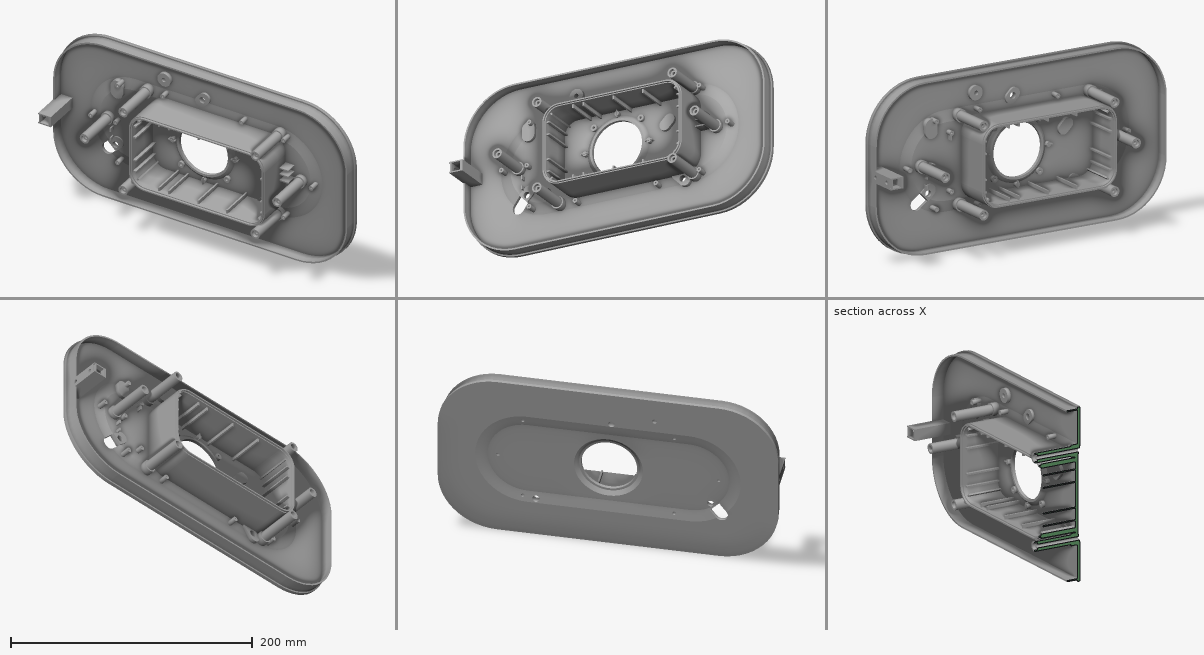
import cadquery as cq
import math


LENGTH = 287.0
WIDTH = 152.0
CORNER_R = 50.0
LIP_HEIGHT = 3.0
RIM_SETBACK = 1.5
RIM_WALL = 1.5
RIM_HEIGHT = 13.2
FLOOR_HEIGHT = 3.0
FOOTING = 2.5

PLATEAU_R = 44.0
PLATEAU_SPACING = 136.0
PLATEAU_SLOPE_WIDTH = 10.0
PLATEAU_RISE = 2.15
PLATEAU_HEIGHT = FLOOR_HEIGHT + PLATEAU_RISE

OPENING_R = 23.5
COLLAR_BASE_R = 29.0
COLLAR_TOP_R = 25.5
COLLAR_RISE = 3.0

BOX_X = 12.0
BOX_LENGTH = 131.2
BOX_WIDTH = 72.3
BOX_CORNER_R = 15.5
BOX_WALL = 3.0
BOX_HEIGHT = 40.2
BOX_TONGUE_STEP = 1.0
BOX_TONGUE_HEIGHT = 1.7

RIB_HEIGHT = 36.5
RIB_THICKNESS = 1.5
LONG_WALL_RIB_DEPTH = 3.5
END_WALL_RIB_DEPTH = 3.0
CORNER_RIB_DEPTH = 2.3
LONG_WALL_RIB_X = (-25.8, -16.5, 12.0, 40.0)
END_WALL_RIB_Z = (-22.0, -11.2, 11.2, 22.0)

POST_HEIGHT = 44.5
POST_DIAMETER = 9.0
POST_FOOT_DIAMETER = 11.2
POST_FOOT_HEIGHT = 9.2
POST_HOLE_R = 1.5
POST_COUNTERBORE_R = 3.0
POST_COUNTERBORE_DEPTH = 3.0
POST_POINTS = [(-93.0, 0), (93.0, 0)]
POST_POINTS += [(x, z) for x in (-55.7, 72.0) for z in (-38.5, 38.5)]

PIN_R = 2.15
PIN_HOLE_R = 0.72
TALL_PIN_HEIGHT = 11.8
TALL_PIN_POINTS = [(-107.0, 0), (106.2, 0)]
TALL_PIN_POINTS += [(x, z) for x in (-81.0, 79.2) for z in (-38.0, 38.0)]
LOW_PIN_HEIGHT = 10.5
LOW_PIN_POINTS = [(-83.8, 0), (-65.7, -25.3), (-65.7, 25.3)]
LOW_PIN_POINTS += [(x, z) for x in (-38.2, 38.0) for z in (-41.0, 41.0)]

BOSS_R = 3.0
BOSS_HOLE_R = 1.1
BOSS_HEIGHT = 7.7
BOSS_OFFSET = 22.0
RING_PIN_OFFSET = 30.0
RING_PIN_HEIGHT = 8.5
RING_RIB_HEIGHT = 9.2
RING_RIB_LENGTH = 7.0
RING_RIB_THICKNESS = 1.0

PAD_WIDTH = 10.3
PAD_HOLE_R = 3.0
HOLED_PAD_HEIGHT = 6.3
TOP_PAD_HEIGHT = 5.2
PLAIN_PAD_HEIGHT = 8.0
ROUND_PAD_POINT = (-39.3, 54.8)
ROUND_PAD_R = 6.3
ROUND_PAD_HOLE_R = 2.0
TOP_PAD = (-3.0, 46.5, 15.2, PAD_WIDTH, 45)
TOP_PAD_HOLE = (-3.0, 46.5)
CORNER_PAD = (59.5, -38.5, 20.0, PAD_WIDTH, -45)
CORNER_PAD_HOLE = (60.8, -40.2)
PLAIN_PADS = [(47.0, 13.0, 15.8, 10.0, 45), (-83.8, 31.3, 17.2, 11.8, 90)]

SLOT_POINT = (-89.5, -27.3)
SLOT_WIDTH = 11.0
SLOT_ANGLE = 45
SLOT_REACH = 14.0
SLOT_PAD_REACH = 13.0
SLOT_PAD_HOLE = (-86.0, -24.7)

TUBE_LENGTH = 12.3
TUBE_WIDTH = 10.0
TUBE_HEIGHT = 37.3
TUBE_SIDE_WALL = 1.1
TUBE_END_WALL = 2.0
TUBE_HOLE_R = 1.7
TUBE_HOLE_HEIGHTS = (13.5, 30.7)
TUBE_NOTCH_HEIGHT = 2.0
TUBE_NOTCH_DEPTH = 1.0

FLOOR_RIB_THICKNESS = 1.1
WIRE_RIB_HEIGHT = 15.0
WIRE_RIB_LENGTH = 8.5
WIRE_RIB_Z = (0, 6.0, 12.0)
STUB_RIB_HEIGHT = 9.8
STUB_RIBS = [(-89.0, -11.2, -7.5), (-89.0, -19.8, -16.6), (-65.7, 19.0, 23.5)]


def level(height):
    return cq.Workplane("XZ").workplane(offset=height)


def rounded_block(length, width, radius, height, x=0.0, base=0.0):
    return level(base).center(x, 0).rect(length, width).extrude(height - base).edges("|Y").fillet(radius)


def block(x_min, x_max, z_min, z_max, base, top):
    return (
        level(base)
        .center((x_min + x_max) / 2, (z_min + z_max) / 2)
        .rect(x_max - x_min, z_max - z_min)
        .extrude(top - base)
    )


def discs(points, radius, base, top):
    return level(base).pushPoints(points).circle(radius).extrude(top - base)


def obround(x, z, length, width, angle, base, top):
    return level(base).center(x, z).slot2D(length, width, angle).extrude(top - base)


def tray():
    lip = rounded_block(LENGTH, WIDTH, CORNER_R, LIP_HEIGHT)
    rim = rounded_block(
        LENGTH - 2 * RIM_SETBACK, WIDTH - 2 * RIM_SETBACK, CORNER_R - RIM_SETBACK, RIM_HEIGHT
    )
    inset = RIM_SETBACK + RIM_WALL
    hollow = rounded_block(
        LENGTH - 2 * inset, WIDTH - 2 * inset, CORNER_R - inset, RIM_HEIGHT, base=FLOOR_HEIGHT
    )
    slope = math.degrees(math.atan(PLATEAU_SLOPE_WIDTH / PLATEAU_RISE))
    plateau = (
        level(FLOOR_HEIGHT)
        .slot2D(PLATEAU_SPACING + 2 * PLATEAU_R, 2 * PLATEAU_R)
        .extrude(PLATEAU_RISE, taper=slope)
    )
    underside = plateau.translate((0, FLOOR_HEIGHT, 0))
    return lip.union(rim).cut(hollow).union(plateau).cut(underside)


def collar():
    taper = math.degrees(math.atan((COLLAR_BASE_R - COLLAR_TOP_R) / COLLAR_RISE))
    return level(PLATEAU_HEIGHT).circle(COLLAR_BASE_R).extrude(COLLAR_RISE, taper=taper)


def box_frame(outer_inset, inner_inset, height):
    """Closed wall lying between two insets from the outline of the box."""
    outer = box_outline(outer_inset, height)
    return outer.cut(box_outline(inner_inset, height))


def box_outline(inset, height):
    return rounded_block(
        BOX_LENGTH - 2 * inset, BOX_WIDTH - 2 * inset, BOX_CORNER_R - inset, height, BOX_X, FOOTING
    )


def box():
    """Wall with a narrow tongue along its front edge and ribs on its inner faces."""
    shell = box_frame(0, BOX_WALL, BOX_HEIGHT - BOX_TONGUE_HEIGHT)
    shell = shell.union(box_frame(BOX_TONGUE_STEP, BOX_WALL - BOX_TONGUE_STEP, BOX_HEIGHT))
    return shell.union(box_wall_ribs()).union(box_corner_ribs())


def box_wall_ribs():
    """Ribs on the four flat inner faces, each rooted halfway into its wall."""
    half_t = RIB_THICKNESS / 2
    root_z = (BOX_WIDTH - BOX_WALL) / 2
    root_x = (BOX_LENGTH - BOX_WALL) / 2
    tip_z = BOX_WIDTH / 2 - BOX_WALL - LONG_WALL_RIB_DEPTH
    tip_x = BOX_LENGTH / 2 - BOX_WALL - END_WALL_RIB_DEPTH
    ribs = cq.Workplane("XZ")
    for side in (-1, 1):
        z_range = sorted((side * root_z, side * tip_z))
        for x in LONG_WALL_RIB_X:
            ribs = ribs.union(block(x - half_t, x + half_t, *z_range, FOOTING, RIB_HEIGHT))
        x_range = sorted((BOX_X + side * root_x, BOX_X + side * tip_x))
        for z in END_WALL_RIB_Z:
            ribs = ribs.union(block(*x_range, z - half_t, z + half_t, FOOTING, RIB_HEIGHT))
    return ribs


def box_corner_ribs():
    """Diagonal ribs in the four rounded inner corners of the box."""
    inner_r = BOX_CORNER_R - BOX_WALL
    reach = inner_r + BOX_WALL / 2
    ribs = cq.Workplane("XZ")
    for side_x in (-1, 1):
        for side_z in (-1, 1):
            rib = block(
                inner_r - CORNER_RIB_DEPTH,
                reach,
                -RIB_THICKNESS / 2,
                RIB_THICKNESS / 2,
                FOOTING,
                RIB_HEIGHT,
            )
            angle = math.degrees(math.atan2(side_z, side_x))
            rib = rib.rotate((0, 0, 0), (0, -1, 0), angle)
            x = BOX_X + side_x * (BOX_LENGTH / 2 - BOX_CORNER_R)
            z = side_z * (BOX_WIDTH / 2 - BOX_CORNER_R)
            ribs = ribs.union(rib.translate((x, 0, z)))
    return ribs


def opening_fixings():
    """Screw bosses on the diagonals and ribbed pins on the axes of the central opening."""
    offsets = (-BOSS_OFFSET, BOSS_OFFSET)
    bosses = [(x, z) for x in offsets for z in offsets]
    solid = discs(bosses, BOSS_R, FOOTING, BOSS_HEIGHT)
    solid = solid.cut(discs(bosses, BOSS_HOLE_R, FOOTING, BOSS_HEIGHT))
    pin = discs([(RING_PIN_OFFSET, 0)], PIN_R, FOOTING, RING_PIN_HEIGHT)
    half_length = RING_RIB_LENGTH / 2
    half_t = RING_RIB_THICKNESS / 2
    rib = block(
        RING_PIN_OFFSET - half_length,
        RING_PIN_OFFSET + half_length,
        -half_t,
        half_t,
        FOOTING,
        RING_RIB_HEIGHT,
    )
    ribbed_pin = pin.union(rib)
    for angle in (0, 90, 180, 270):
        solid = solid.union(ribbed_pin.rotate((0, 0, 0), (0, -1, 0), angle))
    return solid


def posts():
    solid = discs(POST_POINTS, POST_DIAMETER / 2, FOOTING, POST_HEIGHT)
    solid = solid.union(discs(POST_POINTS, POST_FOOT_DIAMETER / 2, FOOTING, POST_FOOT_HEIGHT))
    counterbore_base = POST_HEIGHT - POST_COUNTERBORE_DEPTH
    return solid.cut(discs(POST_POINTS, POST_COUNTERBORE_R, counterbore_base, POST_HEIGHT))


def pins(points, height):
    solid = discs(points, PIN_R, FOOTING, height)
    return solid.cut(discs(points, PIN_HOLE_R, PLATEAU_HEIGHT, height))


def pads():
    solid = discs([ROUND_PAD_POINT], ROUND_PAD_R, FOOTING, HOLED_PAD_HEIGHT)
    solid = solid.union(obround(*TOP_PAD, FOOTING, TOP_PAD_HEIGHT))
    solid = solid.union(obround(*CORNER_PAD, FOOTING, HOLED_PAD_HEIGHT))
    for pad in PLAIN_PADS:
        solid = solid.union(obround(*pad, FOOTING, PLAIN_PAD_HEIGHT))
    return solid


def slot_half(reach, angle, height):
    """Straight-ended, round-tipped tongue running from the slot centre toward the given angle."""
    half = level(0).slot2D(2 * reach, SLOT_WIDTH).extrude(height)
    half = half.intersect(block(0, reach, -SLOT_WIDTH, SLOT_WIDTH, 0, height))
    x, z = SLOT_POINT
    return half.rotate((0, 0, 0), (0, -1, 0), angle).translate((x, 0, z))


def slot_pad():
    pad = slot_half(SLOT_PAD_REACH, SLOT_ANGLE, HOLED_PAD_HEIGHT)
    return pad.cut(slot_half(SLOT_PAD_REACH, SLOT_ANGLE, FOOTING))


def slot():
    return slot_half(SLOT_REACH, SLOT_ANGLE + 180, PLAIN_PAD_HEIGHT)


def tube():
    x_min = -LENGTH / 2 + RIM_SETBACK
    x_max = x_min + TUBE_LENGTH
    half_width = TUBE_WIDTH / 2
    inner_half = half_width - TUBE_SIDE_WALL
    solid = block(x_min, x_max, -half_width, half_width, FOOTING, TUBE_HEIGHT)
    bore_x = (x_min + TUBE_END_WALL, x_max - TUBE_END_WALL)
    solid = solid.cut(block(*bore_x, -inner_half, inner_half, FLOOR_HEIGHT, TUBE_HEIGHT))
    notch_base = TUBE_HEIGHT - TUBE_NOTCH_HEIGHT
    return solid.cut(
        block(x_min, x_min + TUBE_NOTCH_DEPTH, -inner_half, inner_half, notch_base, TUBE_HEIGHT)
    )


def tube_holes():
    x_min = -LENGTH / 2
    centres = [(-height, 0) for height in TUBE_HOLE_HEIGHTS]
    depth = RIM_SETBACK + TUBE_END_WALL
    return cq.Workplane("YZ", origin=(x_min, 0, 0)).pushPoints(centres).circle(TUBE_HOLE_R).extrude(depth)


def floor_ribs():
    half_t = FLOOR_RIB_THICKNESS / 2
    x_min = BOX_X + BOX_LENGTH / 2 - BOX_WALL / 2
    x_max = BOX_X + BOX_LENGTH / 2 + WIRE_RIB_LENGTH
    ribs = cq.Workplane("XZ")
    for z in WIRE_RIB_Z:
        ribs = ribs.union(block(x_min, x_max, z - half_t, z + half_t, FOOTING, WIRE_RIB_HEIGHT))
    for x, z_min, z_max in STUB_RIBS:
        ribs = ribs.union(block(x - half_t, x + half_t, z_min, z_max, FOOTING, STUB_RIB_HEIGHT))
    return ribs


def through_holes():
    holes = discs(POST_POINTS, POST_HOLE_R, 0, POST_HEIGHT)
    holes = holes.union(discs([ROUND_PAD_POINT], ROUND_PAD_HOLE_R, 0, HOLED_PAD_HEIGHT))
    pad_holes = [TOP_PAD_HOLE, CORNER_PAD_HOLE, SLOT_PAD_HOLE]
    return holes.union(discs(pad_holes, PAD_HOLE_R, 0, HOLED_PAD_HEIGHT))


def central_opening():
    """Straight bore with the hollow back of the collar around it."""
    top = PLATEAU_HEIGHT + COLLAR_RISE
    bore = discs([(0, 0)], OPENING_R, 0, top)
    return bore.union(collar().translate((0, FLOOR_HEIGHT, 0)))


result = tray().union(collar())
for feature in (
    box(),
    opening_fixings(),
    posts(),
    pins(TALL_PIN_POINTS, TALL_PIN_HEIGHT),
    pins(LOW_PIN_POINTS, LOW_PIN_HEIGHT),
    pads(),
    slot_pad(),
    tube(),
    floor_ribs(),
):
    result = result.union(feature)
for cutter in (central_opening(), through_holes(), slot(), tube_holes()):
    result = result.cut(cutter)